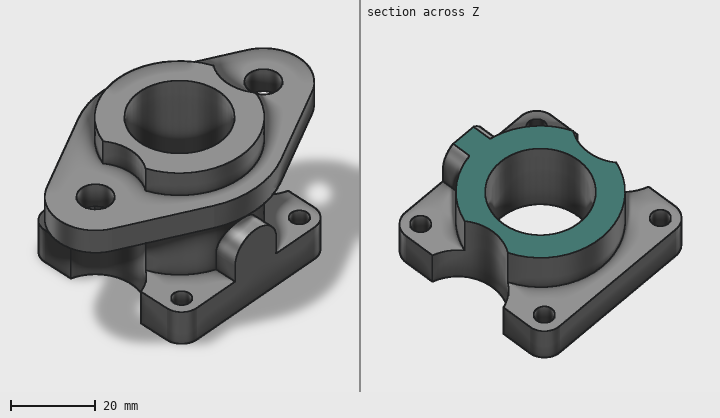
import cadquery as cq
import math

base_thickness = 10.0
flange_bottom = 28.0
flange_thickness = 7.0
total_height = 42.0

base_width = 50.0
base_corner_radius = 5.0
base_hole_diameter = 5.0
base_hole_spacing = 40.0

barrel_diameter = 40.0
bore_diameter = 26.0

flange_center_radius = base_width / 2
lobe_radius = 12.0
lobe_offset = 28.5
bolt_hole_diameter = 9.0

boss_radius = 7.0
boss_axis_height = 15.0

lobe_centers = [(0, lobe_offset), (0, -lobe_offset)]


def make_base():
    plate = cq.Workplane("XY").rect(base_width, base_width).extrude(base_thickness)
    plate = plate.edges("|Z").fillet(base_corner_radius)
    holes = (
        cq.Workplane("XY")
        .rect(base_hole_spacing, base_hole_spacing, forConstruction=True)
        .vertices()
        .circle(base_hole_diameter / 2)
        .extrude(base_thickness)
    )
    return plate.cut(holes)


def make_barrel():
    return cq.Workplane("XY").circle(barrel_diameter / 2).extrude(total_height)


def make_boss():
    """Boss from the barrel axis out to the +X face of the base."""
    return (
        cq.Workplane("YZ")
        .moveTo(-boss_radius, base_thickness)
        .lineTo(boss_radius, base_thickness)
        .lineTo(boss_radius, boss_axis_height)
        .threePointArc((0, boss_axis_height + boss_radius), (-boss_radius, boss_axis_height))
        .close()
        .extrude(base_width / 2)
    )


def make_bolt_clearance():
    """Full-height cylinders that scallop the base and barrel around the bolts."""
    return cq.Workplane("XY").pushPoints(lobe_centers).circle(lobe_radius).extrude(total_height)


def make_flange():
    """Central disc joined to both lobes by common tangent lines."""
    tangent_sine = (flange_center_radius - lobe_radius) / lobe_offset
    tangent_cosine = math.sqrt(1 - tangent_sine**2)
    side_x = flange_center_radius * tangent_cosine
    side_y = flange_center_radius * tangent_sine
    lobe_x = lobe_radius * tangent_cosine
    lobe_y = lobe_offset + lobe_radius * tangent_sine
    lobe_tip = lobe_offset + lobe_radius

    plate = (
        cq.Workplane("XY", origin=(0, 0, flange_bottom))
        .moveTo(side_x, -side_y)
        .threePointArc((flange_center_radius, 0), (side_x, side_y))
        .lineTo(lobe_x, lobe_y)
        .threePointArc((0, lobe_tip), (-lobe_x, lobe_y))
        .lineTo(-side_x, side_y)
        .threePointArc((-flange_center_radius, 0), (-side_x, -side_y))
        .lineTo(-lobe_x, -lobe_y)
        .threePointArc((0, -lobe_tip), (lobe_x, -lobe_y))
        .close()
        .extrude(flange_thickness)
    )
    bolt_holes = (
        cq.Workplane("XY", origin=(0, 0, flange_bottom))
        .pushPoints(lobe_centers)
        .circle(bolt_hole_diameter / 2)
        .extrude(flange_thickness)
    )
    return plate.cut(bolt_holes)


def make_bore():
    return cq.Workplane("XY").circle(bore_diameter / 2).extrude(total_height)


body = make_base().union(make_barrel()).union(make_boss())
body = body.cut(make_bolt_clearance())
result = body.union(make_flange()).cut(make_bore())